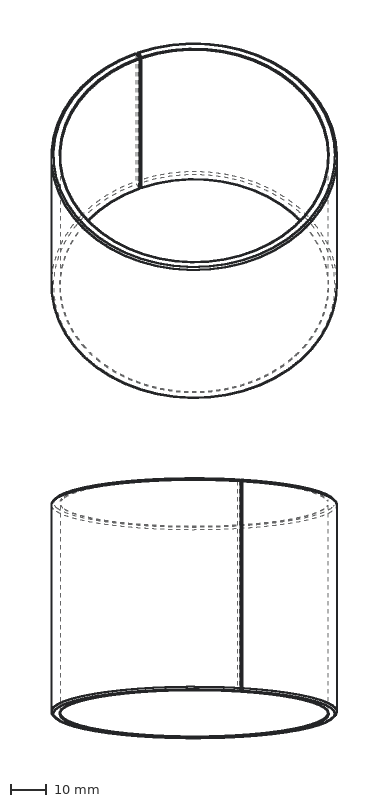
import cadquery as cq

outer_diameter = 80.0
inner_diameter = 75.0
length = 60.0
outer_chamfer = 0.6
inner_chamfer = 0.2
slit_angle = 1.0

outer_radius = outer_diameter / 2
inner_radius = inner_diameter / 2
half_length = length / 2


def make_wall_section():
    """Wall section on the -X side, with the inner and outer edges of both ends chamfered."""
    bore_mouth_radius = inner_radius + inner_chamfer
    bore_height = half_length - inner_chamfer
    end_face_radius = outer_radius - outer_chamfer
    outside_height = half_length - outer_chamfer
    section = [
        (-inner_radius, -bore_height),
        (-bore_mouth_radius, -half_length),
        (-end_face_radius, -half_length),
        (-outer_radius, -outside_height),
        (-outer_radius, outside_height),
        (-end_face_radius, half_length),
        (-bore_mouth_radius, half_length),
        (-inner_radius, bore_height),
    ]
    return cq.Workplane("XZ").polyline(section).close()


def make_split_sleeve():
    """Sweep the section about +Z from the Y = 0 plane, leaving a radial slit on its +Y side."""
    axis_start = (0, 0, 0)
    axis_end = (0, 1, 0)
    return make_wall_section().revolve(360 - slit_angle, axis_start, axis_end)


result = make_split_sleeve()